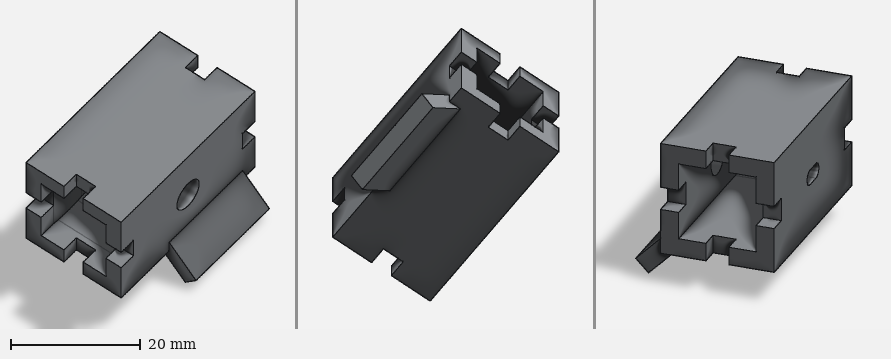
import cadquery as cq
import math

tube_length = 33.0
tube_width = 18.8
wall = 3.0
bore_width = tube_width - 2 * wall

notch_width = 3.8
notch_depth = 3.05

slot_length = 5.0
slot_height = 2.5

access_hole_diameter = 5.5

flap_thickness = 3.0
flap_length = 18.1
flap_start_y = -4.65
flap_reach = 5.3

ridge_radius = 30.0
ridge_y = -10.0
side_ridge_height = 0.2
floor_ridge_height = 0.1
ceiling_ridge_height = 0.1


def make_tube():
    """Square tube with its bore open at both ends."""
    outer = cq.Workplane("XY").box(tube_width, tube_length, tube_width)
    bore = cq.Workplane("XY").box(bore_width, tube_length, bore_width)
    return outer.cut(bore)


def make_end_notches():
    """Crossed bars that notch all four walls at both ends."""
    upright = cq.Workplane("XY").box(notch_width, notch_depth, tube_width)
    level = cq.Workplane("XY").box(tube_width, notch_depth, notch_width)
    cross = upright.union(level)
    centre_y = (tube_length - notch_depth) / 2
    return cross.translate((0, centre_y, 0)).union(cross.translate((0, -centre_y, 0)))


def make_slot():
    """Rounded slot cutter from the tube axis out through the -X wall."""
    return cq.Workplane("YZ").slot2D(slot_length, slot_height).extrude(-tube_width / 2)


def make_access_hole():
    """Round cutter from the tube axis out through the +X wall."""
    return cq.Workplane("YZ").circle(access_hole_diameter / 2).extrude(tube_width / 2)


def make_flap():
    """Flat flap set at 45 degrees, rooted in the corner of the tube."""
    half_step = flap_thickness / math.sqrt(2) / 2
    tip = tube_width / 2 + flap_reach - half_step
    root = tube_width / 2 - half_step
    return (
        cq.Workplane("XZ", origin=(0, flap_start_y, 0))
        .polyline([
            (root - half_step, -root - half_step),
            (tip - half_step, -tip - half_step),
            (tip + half_step, -tip + half_step),
            (root + half_step, -root + half_step),
        ])
        .close()
        .extrude(-flap_length)
    )


def make_ridge(height, turn):
    """Ridge across the bore floor, turned about Y by the given angle onto another wall."""
    half_chord = math.sqrt(height * (2 * ridge_radius - height))
    ridge = (
        cq.Workplane("YZ", origin=(-bore_width / 2, ridge_y, -bore_width / 2))
        .moveTo(-half_chord, 0)
        .threePointArc((0, height), (half_chord, 0))
        .close()
        .extrude(bore_width)
    )
    return ridge.rotate((0, 0, 0), (0, 1, 0), turn)


result = (
    make_tube()
    .cut(make_end_notches())
    .cut(make_slot())
    .cut(make_access_hole())
    .union(make_flap())
    .union(make_ridge(floor_ridge_height, 0))
    .union(make_ridge(side_ridge_height, 90))
    .union(make_ridge(ceiling_ridge_height, 180))
    .solids()
)